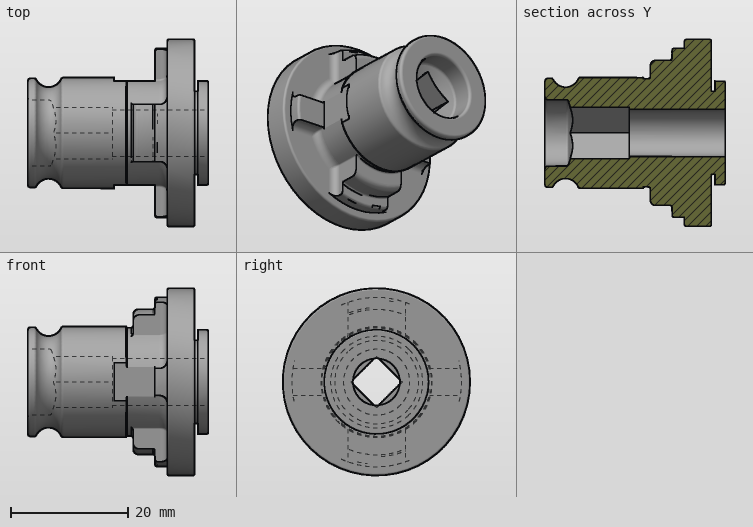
import cadquery as cq
import math

total_length = 30.8

rim_radius = 9.35
rim_front_fillet = 0.5
groove_floor_radius = 7.85
groove_centre_x = 3.55
groove_arc_radius = 2.35
groove_edge_fillet = 0.5

body_radius = 9.47
body_end_x = 16.83
neck_radius = 9.25
shoulder_fillet = 0.1

flange_radius = 16.0
flange_front_x = 23.78
flange_back_x = 28.48
flange_edge_fillet = 0.4
root_fillet = 1.28

rear_groove_radius = 7.15
disc_radius = 8.9
disc_front_x = 29.0
disc_edge_fillet = 0.25

lug_radius = 14.45
lug_front_x = 21.65
lug_edge_fillet = 0.45
stepped_lug_width = 9.75
low_lug_width = 4.65
step_radius = 12.4
step_front_x = 17.95
step_edge_fillet = 1.0
step_inner_fillet = 0.32
lug_neck_fillet = 0.32

flat_distance = 8.9
flat_start_x = 14.75

bore_radius = 5.63
bore_mouth_fillet = 0.5
bore_bottom_fillet = 0.45
bore_depth = 3.95
bore_cone_angle = 144.0
square_size = 6.18
rear_hole_radius = 4.0
rear_hole_start_x = 14.4

position_tolerance = 0.003


def same(first, second):
    """True when two lengths agree within the tolerance."""
    return abs(first - second) < position_tolerance


def lies_at_x(edge, x):
    """True when the whole edge lies in the plane at the given X."""
    box = edge.BoundingBox()
    return same(box.xmin, x) and same(box.xmax, x)


def cylinder(radius, start_x, end_x):
    """Solid cylinder on the X axis."""
    return cq.Workplane("YZ", origin=(start_x, 0, 0)).circle(radius).extrude(end_x - start_x)


def groove_edge_x(radius, side):
    """X where the groove arc reaches the given radius, before (-1) or after (+1) its centre."""
    drop = groove_floor_radius + groove_arc_radius - radius
    return groove_centre_x + side * math.sqrt(groove_arc_radius**2 - drop**2)


def round_rings(solid, fillet_radius, *rings):
    """Fillet the circular edges given as (X, radius) pairs."""
    def is_chosen(edge):
        return any(lies_at_x(edge, x) and same(edge.radius(), radius) for x, radius in rings)

    chosen = [edge for edge in solid.edges("%CIRCLE").vals() if is_chosen(edge)]
    return solid.newObject([solid.val().fillet(fillet_radius, chosen)])


def shank():
    """Rim, groove, body and neck."""
    rim_end_x = groove_edge_x(rim_radius, -1)
    body_start_x = groove_edge_x(body_radius, 1)
    solid = (
        cq.Workplane("XY")
        .lineTo(0, rim_radius)
        .lineTo(rim_end_x, rim_radius)
        .threePointArc((groove_centre_x, groove_floor_radius), (body_start_x, body_radius))
        .lineTo(body_end_x, body_radius)
        .lineTo(body_end_x, neck_radius)
        .lineTo(flange_front_x, neck_radius)
        .lineTo(flange_front_x, 0)
        .close()
        .revolve(360, (0, 0, 0), (1, 0, 0))
    )
    solid = round_rings(solid, rim_front_fillet, (0, rim_radius))
    solid = round_rings(
        solid, groove_edge_fillet, (rim_end_x, rim_radius), (body_start_x, body_radius)
    )
    return round_rings(
        solid, shoulder_fillet, (body_end_x, body_radius), (body_end_x, neck_radius)
    )


def flange_and_disc():
    """Flange, rear groove and end disc."""
    flange = cylinder(flange_radius, flange_front_x, flange_back_x).edges().fillet(flange_edge_fillet)
    disc = cylinder(disc_radius, disc_front_x, total_length).faces(">X").edges().fillet(disc_edge_fillet)
    return flange.union(cylinder(rear_groove_radius, flange_front_x, total_length)).union(disc)


def lug_ring():
    """Low lug shape swept all the way round."""
    return cylinder(lug_radius, lug_front_x, flange_front_x).faces("<X").edges().fillet(lug_edge_fillet)


def stepped_lug_ring():
    """Stepped lug shape swept all the way round."""
    solid = lug_ring().union(cylinder(step_radius, step_front_x, flange_front_x))
    solid = round_rings(solid, step_edge_fillet, (step_front_x, step_radius))
    return round_rings(solid, step_inner_fillet, (lug_front_x, step_radius))


def slab(width_y, width_z):
    """Bar along X, centred on the axis, reaching the flange face."""
    return cq.Workplane("YZ").rect(width_y, width_z).extrude(flange_front_x)


def distance_range(edge):
    """Smallest and largest distance from the X axis at the ends and middle of an edge."""
    points = [edge.positionAt(t) for t in (0, 0.5, 1)]
    distances = [math.hypot(point.y, point.z) for point in points]
    return min(distances), max(distances)


def lugged_neck():
    """Shank with the four lugs, blended where the lugs rise from the neck."""
    stepped_lugs = stepped_lug_ring().intersect(slab(stepped_lug_width, 2 * flange_radius))
    low_lugs = lug_ring().intersect(slab(2 * flange_radius, low_lug_width))
    solid = shank().union(stepped_lugs).union(low_lugs)

    def is_lug_foot(edge):
        nearest, farthest = distance_range(edge)
        on_neck = same(nearest, neck_radius) and same(farthest, neck_radius)
        starts_on_lug = edge.BoundingBox().xmin > step_front_x - position_tolerance
        is_lug_side = edge.geomType() == "LINE" and starts_on_lug
        return on_neck and (is_lug_side or lies_at_x(edge, step_front_x))

    foot_edges = [edge for edge in solid.edges().vals() if is_lug_foot(edge)]
    return solid.newObject([solid.val().fillet(lug_neck_fillet, foot_edges)])


def add_flange(solid):
    """Join the flange and blend the neck and the lug sides into its front face."""
    solid = solid.union(flange_and_disc())

    def is_root(edge):
        nearest, _ = distance_range(edge)
        return lies_at_x(edge, flange_front_x) and nearest < lug_radius - position_tolerance

    root_edges = [edge for edge in solid.edges().vals() if is_root(edge)]
    return solid.newObject([solid.val().fillet(root_fillet, root_edges)])


def flat_cutter():
    """Two blocks outside the flats, from the body to the front of the low lugs."""
    length = lug_front_x - flat_start_x
    block = cq.Workplane("XY", origin=(flat_start_x, flat_distance, 0)).box(
        length, body_radius, 2 * body_radius, centered=(False, False, True)
    )
    return block.union(block.mirror("XZ"))


def opening():
    """Everything removed along the axis."""
    cone_depth = bore_radius / math.tan(math.radians(bore_cone_angle / 2))
    bore = (
        cq.Workplane("XY")
        .lineTo(0, bore_radius + bore_mouth_fillet)
        .radiusArc((bore_mouth_fillet, bore_radius), -bore_mouth_fillet)
        .lineTo(bore_depth, bore_radius)
        .lineTo(bore_depth + cone_depth, 0)
        .close()
        .revolve(360, (0, 0, 0), (1, 0, 0))
    )
    bore = round_rings(bore, bore_bottom_fillet, (bore_depth, bore_radius))
    square = (
        cq.Workplane("YZ", origin=(bore_depth, 0, 0))
        .transformed(rotate=(0, 0, 45))
        .rect(square_size, square_size)
        .extrude(rear_hole_start_x - bore_depth)
    )
    return bore.union(square).union(cylinder(rear_hole_radius, rear_hole_start_x, total_length))


result = add_flange(lugged_neck()).cut(flat_cutter()).cut(opening()).solids()